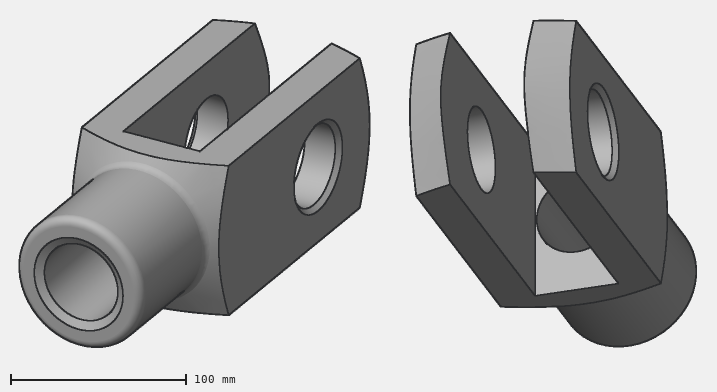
import cadquery as cq
import math


body_width = 96.0
total_length = 264.95
cone_slope = math.tan(math.radians(30.0))
corner_radius = body_width / math.sqrt(2.0)
corner_clearance = 1.0

slot_width = 50.0
slot_floor_y = 96.0
pin_diameter = 50.0
pin_y = 192.0
pin_chamfer = 3.0

shank_diameter = 82.0
shank_length = 73.0
shank_end_fillet = 5.0
shank_root_fillet = 5.0

bore_diameter = 48.0
bore_chamfer_width = 5.0
bore_chamfer_depth = bore_chamfer_width * math.tan(math.radians(30.0))


def make_turned_envelope():
    """Revolved shape: shank, rear cone, straight stretch clear of the corners, tip cone."""
    shank_radius = shank_diameter / 2
    slot_half = slot_width / 2
    outer_radius = corner_radius + corner_clearance

    rear_cone_y = shank_length + (outer_radius - shank_radius) * cone_slope
    tip_cone_y = total_length - (outer_radius - slot_half) * cone_slope
    apex_y = total_length + slot_half * cone_slope

    profile = (
        cq.Workplane("XY")
        .moveTo(0, 0)
        .lineTo(shank_radius, 0)
        .lineTo(shank_radius, shank_length)
        .lineTo(outer_radius, rear_cone_y)
        .lineTo(outer_radius, tip_cone_y)
        .lineTo(0, apex_y)
        .close()
    )
    envelope = profile.revolve(360, (0, 0, 0), (0, 1, 0))

    root_point = (0, shank_length, 0)
    envelope = envelope.edges("%CIRCLE").edges(cq.selectors.NearestToPointSelector(root_point))
    envelope = envelope.fillet(shank_root_fillet)
    return envelope.faces("<Y").edges().fillet(shank_end_fillet)


def make_square_bar():
    """Square bar, longer than the part at the tip so the tip cone trims it."""
    bar_length = total_length + body_width
    return cq.Workplane("XY").box(body_width, bar_length, body_width, centered=(True, False, True))


def make_slot():
    """Fork slot, open at the tips and at both Z faces."""
    return (
        cq.Workplane("XY")
        .box(slot_width, total_length, body_width, centered=(True, False, True))
        .translate((0, slot_floor_y, 0))
    )


def make_pin_hole():
    """Cross hole along X with a 45 degree countersink at each outer face."""
    radius = pin_diameter / 2
    half = body_width / 2
    profile = (
        cq.Workplane("XY")
        .moveTo(-half, pin_y)
        .lineTo(half, pin_y)
        .lineTo(half, pin_y + radius + pin_chamfer)
        .lineTo(half - pin_chamfer, pin_y + radius)
        .lineTo(-half + pin_chamfer, pin_y + radius)
        .lineTo(-half, pin_y + radius + pin_chamfer)
        .close()
    )
    return profile.revolve(360, (0, pin_y, 0), (1, pin_y, 0))


def make_bore():
    """Axial bore from the shank end into the slot, with a shallow conical lead-in."""
    radius = bore_diameter / 2
    profile = (
        cq.Workplane("XY")
        .moveTo(0, 0)
        .lineTo(radius + bore_chamfer_width, 0)
        .lineTo(radius, bore_chamfer_depth)
        .lineTo(radius, slot_floor_y)
        .lineTo(0, slot_floor_y)
        .close()
    )
    return profile.revolve(360, (0, 0, 0), (0, 1, 0))


body = make_turned_envelope().intersect(make_square_bar())
result = body.cut(make_slot()).cut(make_pin_hole()).cut(make_bore())